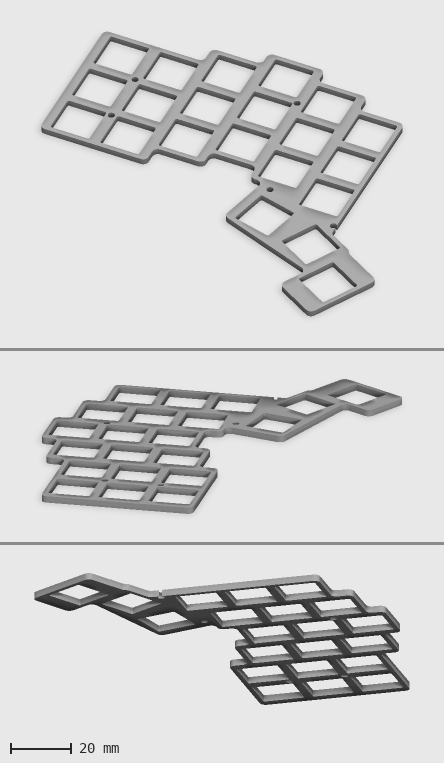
import cadquery as cq
import math

thickness = 2.2
column_span = 90.1
row_span = 34.0
cutout = 14.0
cutout_radius = 0.5
side_margin = 3.1
end_margin = 1.7
rows = 3
columns = 6
outline_radius = 2.0
screw_diameter = 2.4

pitch_x = column_span / (columns - 1)
pitch_y = row_span / (rows - 1)

ring_shift = 6.8
middle_shift = 12.6
column_shifts = [0, 0, ring_shift, middle_shift, ring_shift, 0]

column_height = row_span + cutout + 2 * end_margin
first_column_x = side_margin + cutout / 2
first_row_y = end_margin + cutout / 2

thumb_inner = (85.3, -7.7)
thumb_inner_tilt = 14
thumb_middle = (105, -14.0)
thumb_outer = (117.7, -28.3)
thumb_tilt = 30
thumb_key_width = 17.2
thumb_key_length = 27.2

screw_holes = [(19.2, 34.1), (19.2, 15.2), (72.5, 45.9), (81.7, 4.3), (108.0, -2.9)]


def tilted(centre, tilt, across, along):
    """Point at (across, along) in the frame of a key turned clockwise by tilt degrees."""
    angle = math.radians(tilt)
    x = centre[0] + across * math.cos(angle) + along * math.sin(angle)
    y = centre[1] - across * math.sin(angle) + along * math.cos(angle)
    return (x, y)


def switch_opening(centre, tilt=0):
    """Cutter for one square switch opening with rounded corners."""
    block = cq.Workplane("XY").rect(cutout, cutout).extrude(thickness).edges("|Z").fillet(cutout_radius)
    return block.rotate((0, 0, 0), (0, 0, 1), -tilt).translate((centre[0], centre[1], 0))


column_width = cutout + 2 * side_margin
ring_left = 2 * pitch_x
middle_left = 3 * pitch_x
middle_right = middle_left + column_width
ring_right = middle_right + pitch_x
block_right = 109.0

outer_columns_right = 38.7
ring_foot_right = 56.4
index_foot_left = 73.0

thumb_top_left = (78.2, ring_shift)
thumb_bottom_left = (73.0, -13.4)

pad_half_width = thumb_key_width / 2
pad_half_length = thumb_key_length / 2
pad_step = -7.2
pad_notch = -2.6

middle_edge = 8.5
middle_side = 9.7
edge_x, edge_y = tilted(thumb_middle, thumb_tilt, 0, middle_edge)
neck_y = edge_y - (block_right - edge_x) * math.tan(math.radians(thumb_tilt))

corners = [
    (0, 0),
    (0, column_height),
    (ring_left, column_height),
    (ring_left, column_height + ring_shift),
    (middle_left, column_height + ring_shift),
    (middle_left, column_height + middle_shift),
    (middle_right, column_height + middle_shift),
    (middle_right, column_height + ring_shift),
    (ring_right, column_height + ring_shift),
    (ring_right, column_height),
    (block_right, column_height),
    (block_right, neck_y),
    tilted(thumb_middle, thumb_tilt, middle_side, middle_edge),
    tilted(thumb_outer, thumb_tilt, pad_step, pad_half_length),
    tilted(thumb_outer, thumb_tilt, pad_half_width, pad_half_length),
    tilted(thumb_outer, thumb_tilt, pad_half_width, -pad_half_length),
    tilted(thumb_outer, thumb_tilt, -pad_half_width, -pad_half_length),
    tilted(thumb_outer, thumb_tilt, -pad_half_width, pad_notch),
    thumb_bottom_left,
    thumb_top_left,
    (index_foot_left, ring_shift),
    (index_foot_left, middle_shift),
    (ring_foot_right, middle_shift),
    (ring_foot_right, ring_shift),
    (outer_columns_right, ring_shift),
    (outer_columns_right, 0),
]
result = cq.Workplane("XY").polyline(corners).close().extrude(thickness).edges("|Z").fillet(outline_radius)

for column, shift in enumerate(column_shifts):
    for row in range(rows):
        centre = (first_column_x + column * pitch_x, first_row_y + row * pitch_y + shift)
        result = result.cut(switch_opening(centre))

thumb_keys = [
    (thumb_inner, thumb_inner_tilt),
    (thumb_middle, thumb_tilt),
    (thumb_outer, thumb_tilt),
]
for centre, tilt in thumb_keys:
    result = result.cut(switch_opening(centre, tilt))

screws = cq.Workplane("XY").pushPoints(screw_holes).circle(screw_diameter / 2).extrude(thickness)
result = result.cut(screws)